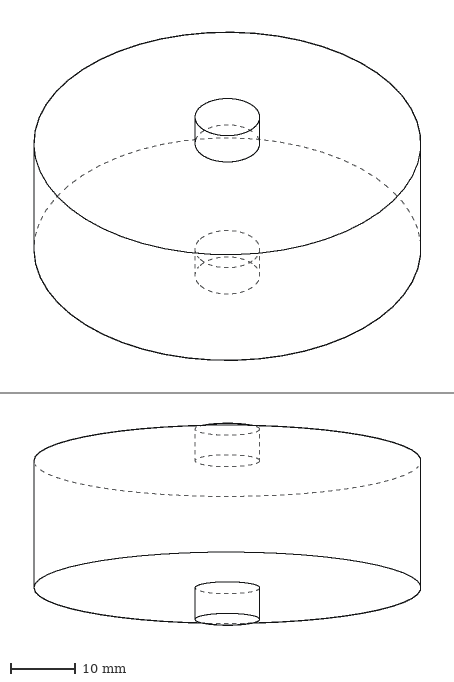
import cadquery as cq

disc_diameter = 60.0
overall_height = 30.0
pin_diameter = 10.0
pin_length = 5.0

disc_thickness = overall_height - 2 * pin_length


def centred_cylinder(diameter, height):
    """Cylinder along Z, centred on the origin."""
    return cq.Workplane("XY").cylinder(height, diameter / 2)


disc = centred_cylinder(disc_diameter, disc_thickness)
pin = centred_cylinder(pin_diameter, overall_height)

result = disc.union(pin)